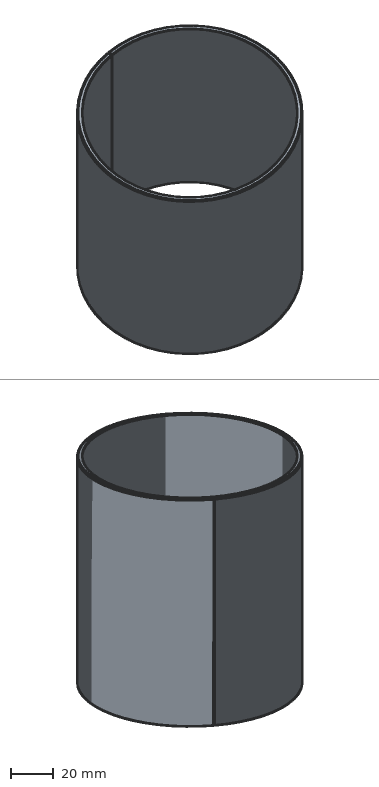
import cadquery as cq

height = 115.0
outer_diameter = 105.0
wall = 2.5
outer_rim_chamfer = 0.6
inner_rim_chamfer = 0.2
split_width = 0.7

outer_radius = outer_diameter / 2
inner_radius = outer_radius - wall

tube = cq.Workplane("XY").circle(outer_radius).circle(inner_radius).extrude(height)

outer_rims = tube.faces("|Z").edges(cq.selectors.RadiusNthSelector(-1))
bushing = outer_rims.chamfer(outer_rim_chamfer)
inner_rims = bushing.faces("|Z").edges(cq.selectors.RadiusNthSelector(0))
bushing = inner_rims.chamfer(inner_rim_chamfer)

split = cq.Workplane("XY").box(outer_radius, split_width, height, centered=False)
result = bushing.cut(split.translate((-outer_radius, 0, 0)))